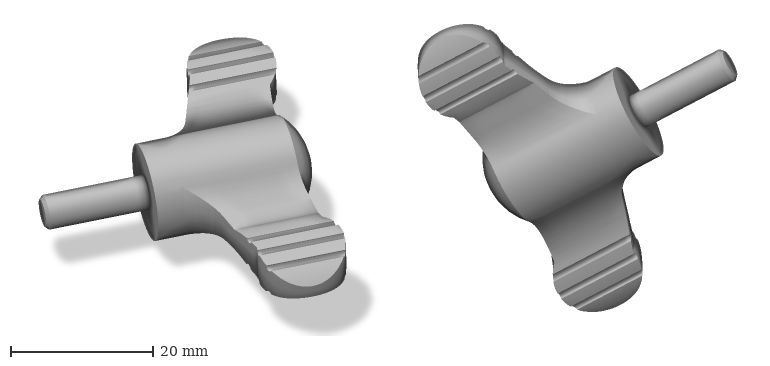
import cadquery as cq
import math


HUB_RADIUS = 7.0
HUB_HEIGHT = 20.9
TOTAL_HEIGHT = 24.0
STUD_RADIUS = 2.5
STUD_LENGTH = 15.0
STUD_CHAMFER = 0.5

WING_RADIUS = 25.0
LOBE_RADIUS = 6.3
LOBE_CENTRE_R = WING_RADIUS - LOBE_RADIUS
LOBE_CENTRE_Y = TOTAL_HEIGHT - LOBE_RADIUS
TOP_EDGE_ANGLE = math.radians(9.0)
LOWER_EDGE_ANGLE = math.radians(20.0)
LOWER_EDGE_END_R = 18.0
HUB_SIDE_FILLET = 5.0

FACE_RADIUS = 13.0
UPPER_FACE_X = 17.75
UPPER_FACE_TOP_Z = 3.72
LOWER_FACE_X = LOBE_CENTRE_R
LOWER_FACE_BOTTOM_Z = -2.2
UPPER_CREASE_X = 12.6
LOWER_CREASE_X = 14.8
UPPER_FILLET = 8.0
UPPER_FILLET_BOTTOM_Z = 2.9
UPPER_FILLET_END_X = 9.8
LOWER_FILLET = 9.0
LOWER_FILLET_TOP_Z = -1.25
SECTION_OVERRUN = 1.0
SECTION_END_X = WING_RADIUS + SECTION_OVERRUN

GROOVE_RADIUS = 0.5
GROOVE_PITCH = 2.8
GROOVE_XS = [LOBE_CENTRE_R + i * GROOVE_PITCH for i in (-1, 0, 1)]


def arc_height(x, centre_x, radius):
    """Distance of a circle's point above the level of its centre."""
    return math.sqrt(radius**2 - (x - centre_x) ** 2)


def upper_face_z(x):
    return UPPER_FACE_TOP_Z - FACE_RADIUS + arc_height(x, UPPER_FACE_X, FACE_RADIUS)


def lower_face_z(x):
    return LOWER_FACE_BOTTOM_Z + FACE_RADIUS - arc_height(x, LOWER_FACE_X, FACE_RADIUS)


def hub_fillet(radius, centre_z):
    """Centre X of a fillet tangent to the hub, and its contact point (X, Z)."""
    reach = HUB_RADIUS + radius
    centre_x = math.sqrt(reach**2 - centre_z**2)
    scale = HUB_RADIUS / reach
    return centre_x, (centre_x * scale, centre_z * scale)


def make_hub():
    dome_side = HUB_RADIUS * math.cos(math.pi / 4)
    rise = TOTAL_HEIGHT - HUB_HEIGHT
    dome_radius = (HUB_RADIUS**2 + rise**2) / (2 * rise)
    dome_side_y = TOTAL_HEIGHT - dome_radius + arc_height(dome_side, 0, dome_radius)
    return (
        cq.Workplane("XY")
        .lineTo(HUB_RADIUS, 0)
        .lineTo(HUB_RADIUS, HUB_HEIGHT)
        .threePointArc((dome_side, dome_side_y), (0, TOTAL_HEIGHT))
        .close()
        .revolve(360, (0, 0, 0), (0, 1, 0))
    )


def make_stud():
    return (
        cq.Workplane("XZ")
        .circle(STUD_RADIUS)
        .extrude(STUD_LENGTH)
        .faces("<Y")
        .chamfer(STUD_CHAMFER)
    )


def make_wing_outline():
    slope_r = math.cos(TOP_EDGE_ANGLE)
    slope_y = math.sin(TOP_EDGE_ANGLE)
    to_lobe_r = LOBE_CENTRE_R - HUB_RADIUS
    to_lobe_y = LOBE_CENTRE_Y - HUB_HEIGHT
    along = to_lobe_r * slope_r + to_lobe_y * slope_y
    across = to_lobe_r * slope_y - to_lobe_y * slope_r
    top_length = along - math.sqrt(LOBE_RADIUS**2 - across**2)
    top_crease = (HUB_RADIUS + top_length * slope_r, HUB_HEIGHT + top_length * slope_y)

    lower_end_y = LOBE_CENTRE_Y - arc_height(LOWER_EDGE_END_R, LOBE_CENTRE_R, LOBE_RADIUS)
    fillet_r = HUB_RADIUS + HUB_SIDE_FILLET
    fillet_start_r = fillet_r - HUB_SIDE_FILLET * math.sin(LOWER_EDGE_ANGLE)
    fillet_start_y = lower_end_y - (LOWER_EDGE_END_R - fillet_start_r) * math.tan(LOWER_EDGE_ANGLE)
    fillet_y = fillet_start_y - HUB_SIDE_FILLET * math.cos(LOWER_EDGE_ANGLE)
    mid_angle = (math.pi / 2 + LOWER_EDGE_ANGLE + math.pi) / 2
    fillet_mid = (
        fillet_r + HUB_SIDE_FILLET * math.cos(mid_angle),
        fillet_y + HUB_SIDE_FILLET * math.sin(mid_angle),
    )
    return (
        cq.Workplane("XY")
        .moveTo(0, HUB_HEIGHT)
        .lineTo(HUB_RADIUS, HUB_HEIGHT)
        .lineTo(*top_crease)
        .threePointArc((WING_RADIUS, LOBE_CENTRE_Y), (LOWER_EDGE_END_R, lower_end_y))
        .lineTo(fillet_start_r, fillet_start_y)
        .threePointArc(fillet_mid, (HUB_RADIUS, fillet_y))
        .lineTo(0, fillet_y)
        .close()
        .revolve(360, (0, 0, 0), (0, 1, 0))
    )


def make_wing_section():
    upper_centre_z = UPPER_FILLET_BOTTOM_Z + UPPER_FILLET
    upper_centre_x, upper_contact = hub_fillet(UPPER_FILLET, upper_centre_z)
    upper_mid_x = (upper_contact[0] + UPPER_FILLET_END_X) / 2
    upper_mid_z = upper_centre_z - arc_height(upper_mid_x, upper_centre_x, UPPER_FILLET)
    upper_end_z = upper_centre_z - arc_height(UPPER_FILLET_END_X, upper_centre_x, UPPER_FILLET)

    lower_centre_z = LOWER_FILLET_TOP_Z - LOWER_FILLET
    lower_centre_x, lower_contact = hub_fillet(LOWER_FILLET, lower_centre_z)
    lower_crease_z = lower_centre_z + arc_height(LOWER_CREASE_X, lower_centre_x, LOWER_FILLET)

    return (
        cq.Workplane("XZ")
        .lineTo(*upper_contact)
        .threePointArc((upper_mid_x, upper_mid_z), (UPPER_FILLET_END_X, upper_end_z))
        .lineTo(UPPER_CREASE_X, upper_face_z(UPPER_CREASE_X))
        .threePointArc(
            (UPPER_FACE_X, UPPER_FACE_TOP_Z),
            (SECTION_END_X, upper_face_z(SECTION_END_X)),
        )
        .lineTo(SECTION_END_X, lower_face_z(SECTION_END_X))
        .threePointArc(
            (LOWER_FACE_X, LOWER_FACE_BOTTOM_Z),
            (LOWER_CREASE_X, lower_crease_z),
        )
        .threePointArc((lower_centre_x, LOWER_FILLET_TOP_Z), lower_contact)
        .close()
        .extrude(-TOTAL_HEIGHT)
    )


def make_grooves():
    centres = []
    for x in GROOVE_XS:
        centres.append((x, upper_face_z(x)))
        centres.append((x, lower_face_z(x)))
    return cq.Workplane("XZ").pushPoints(centres).circle(GROOVE_RADIUS).extrude(-TOTAL_HEIGHT)


wing = make_wing_section().intersect(make_wing_outline()).cut(make_grooves())
opposite_wing = wing.rotate((0, 0, 0), (0, 1, 0), 180)

result = make_hub().union(make_stud()).union(wing).union(opposite_wing)